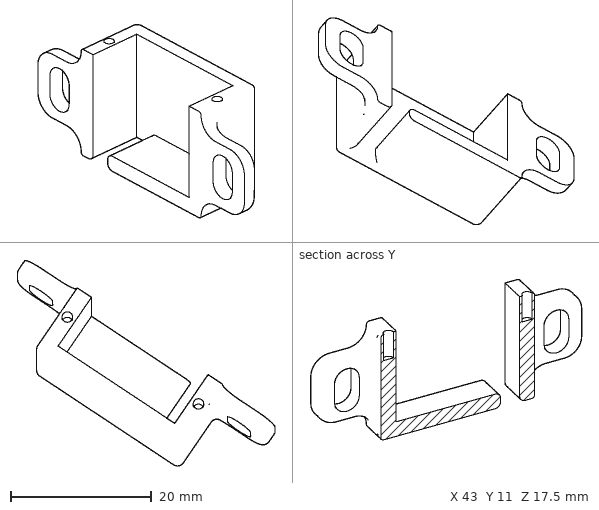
import cadquery as cq

length = 43.0
body_width = 25.0
depth = 11.0
height = 17.5
wall = 2.5

ear_height = 10.5
ear_thickness = 2.5
ear_corner_radius = 3.0
cove_radius = 3.0
slot_width = 4.0
slot_height = 7.0
slot_offset = 17.0

back_corner_radius = 1.0
ear_edge_radius = 1.0
ear_root_radius = 1.0

gap_width = 3.0
gap_edge_radius = 1.0

pin_hole_diameter = 1.5
pin_hole_depth = 4.3
pin_hole_y = 4.3

overlap = 0.45
tolerance = 0.005

half_body = body_width / 2
half_length = length / 2
half_height = height / 2
half_ear = ear_height / 2
edge_radius = half_height - half_ear - cove_radius
half_cavity = half_body - wall
ear_inner_x = half_body - wall / 2
pin_hole_x = half_body - wall / 2
gap_end = -half_cavity + gap_width


def box_between(x_range, y_range, z_range):
    """Box spanning the given coordinate ranges."""
    size = [high - low for low, high in (x_range, y_range, z_range)]
    corner = (x_range[0], y_range[0], z_range[0])
    return cq.Workplane("XY").box(*size, centered=False).translate(corner)


def make_block():
    """Solid block with rounded back corners and rounded top and bottom rims."""
    block = box_between((-half_body, half_body), (0, depth), (-half_height, half_height))
    block = block.edges("|Z and >Y").fillet(back_corner_radius)
    rims = block.faces("<Z or >Z").edges("not <Y")
    return block.newObject(rims.vals()).fillet(edge_radius)


def make_ear():
    """Right ear: rounded plate that spreads through coves and a root fillet into the body side."""
    cove_x = half_body + cove_radius
    tip_x = half_length - ear_corner_radius
    corner_z = half_ear - ear_corner_radius
    root_z = half_ear + cove_radius
    root_y = ear_thickness + ear_root_radius
    outline = (
        cq.Workplane("XZ")
        .moveTo(ear_inner_x, root_z)
        .lineTo(half_body, root_z)
        .radiusArc((cove_x, half_ear), -cove_radius)
        .lineTo(tip_x, half_ear)
        .radiusArc((half_length, corner_z), ear_corner_radius)
        .lineTo(half_length, -corner_z)
        .radiusArc((tip_x, -half_ear), ear_corner_radius)
        .lineTo(cove_x, -half_ear)
        .radiusArc((half_body, -root_z), -cove_radius)
        .lineTo(ear_inner_x, -root_z)
        .close()
        .extrude(-root_y)
    )
    side_profile = (
        cq.Workplane("XY")
        .moveTo(ear_inner_x, 0)
        .lineTo(half_length, 0)
        .lineTo(half_length, ear_thickness)
        .lineTo(half_body + ear_root_radius, ear_thickness)
        .radiusArc((half_body, root_y), ear_root_radius)
        .lineTo(ear_inner_x, root_y)
        .close()
        .extrude(root_z, both=True)
    )
    ear = outline.intersect(side_profile)
    return ear.newObject(back_rim_edges(ear)).fillet(ear_edge_radius)


def back_rim_edges(ear):
    """Edges along the back outline of the ear, including the stretch that climbs its root."""
    def on_back_rim(edge):
        center = edge.Center()
        at_back = center.y > ear_thickness - tolerance
        outside_body = center.x > half_body + tolerance
        on_mid_plane = abs(center.z) < tolerance
        at_tip = center.x > half_length - tolerance
        return at_back and outside_body and (at_tip or not on_mid_plane)

    return [edge for edge in ear.edges().vals() if on_back_rim(edge)]


def make_slots():
    """Upright screw slots through both ears."""
    return (
        cq.Workplane("XZ")
        .pushPoints([(-slot_offset, 0), (slot_offset, 0)])
        .slot2D(slot_height, slot_width, 90)
        .extrude(-ear_thickness)
    )


def make_cavity():
    """Pocket of the box, open at the front and the top."""
    return box_between(
        (-half_cavity, half_cavity),
        (-overlap, depth - wall),
        (-half_height + wall, half_height + overlap),
    )


def make_floor_gap():
    """Gap through the floor, flared at the bottom where the side and back edges are rounded."""
    bottom = -half_height
    rounding_z = bottom + gap_edge_radius
    floor_top = bottom + wall
    flare = gap_edge_radius
    back = depth - wall
    front_profile = (
        cq.Workplane("XZ")
        .moveTo(-half_cavity - flare, bottom)
        .radiusArc((-half_cavity, rounding_z), -gap_edge_radius)
        .lineTo(-half_cavity, floor_top)
        .lineTo(gap_end + flare, floor_top)
        .radiusArc((gap_end, floor_top - flare), -gap_edge_radius)
        .lineTo(gap_end, rounding_z)
        .radiusArc((gap_end + flare, bottom), -gap_edge_radius)
        .close()
        .extrude(-depth)
    )
    side_profile = (
        cq.Workplane("YZ")
        .moveTo(0, bottom)
        .lineTo(back + flare, bottom)
        .radiusArc((back, rounding_z), gap_edge_radius)
        .lineTo(back, floor_top)
        .lineTo(0, floor_top)
        .close()
        .extrude(half_length, both=True)
    )
    return front_profile.intersect(side_profile)


def make_pin_holes():
    """Blind holes drilled down into the tops of both side walls."""
    return (
        cq.Workplane("XY", origin=(0, 0, half_height))
        .pushPoints([(-pin_hole_x, pin_hole_y), (pin_hole_x, pin_hole_y)])
        .circle(pin_hole_diameter / 2)
        .extrude(-pin_hole_depth)
    )


right_ear = make_ear()
left_ear = right_ear.mirror("YZ")
result = (
    make_block()
    .union(right_ear)
    .union(left_ear)
    .cut(make_cavity())
    .cut(make_floor_gap())
    .cut(make_slots())
    .cut(make_pin_holes())
)